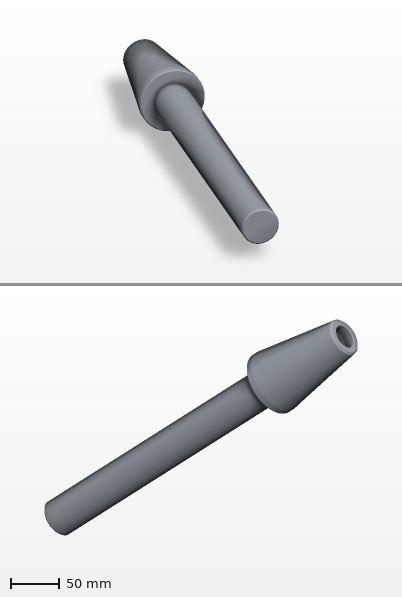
import cadquery as cq
import math

length = 421.8

head_length = 110.0
head_diameter = 70.0
nose_diameter = 41.0
nose_chamfer = 2.0
rim_width = 8.0
rim_chamfer = 1.3

shank_diameter = 40.0
shank_chamfer = 1.5
relief_diameter = 39.2
relief_width = 2.0

mouth_diameter = 26.5
bore_diameter = 25.0
bore_depth = 12.0
drill_diameter = 20.5
drill_depth = 50.5
drill_point_angle = 118.0

nose_x = -length / 2
tail_x = length / 2
head_end_x = nose_x + head_length
relief_end_x = head_end_x + relief_width
relief_step = (shank_diameter - relief_diameter) / 2


def revolve_profile(points):
    """Revolve (x, radius) points about the X axis."""
    profile = cq.Workplane("XY").polyline(points).close()
    return profile.revolve(360, (0, 0, 0), (1, 0, 0))


def make_body():
    return revolve_profile([
        (nose_x, 0),
        (nose_x, nose_diameter / 2 - nose_chamfer),
        (nose_x + nose_chamfer, nose_diameter / 2),
        (head_end_x - rim_width, head_diameter / 2),
        (head_end_x - rim_chamfer, head_diameter / 2),
        (head_end_x, head_diameter / 2 - rim_chamfer),
        (head_end_x, relief_diameter / 2),
        (relief_end_x - relief_step, relief_diameter / 2),
        (relief_end_x, shank_diameter / 2),
        (tail_x - shank_chamfer, shank_diameter / 2),
        (tail_x, shank_diameter / 2 - shank_chamfer),
        (tail_x, 0),
    ])


def make_bore():
    mouth_chamfer = (mouth_diameter - bore_diameter) / 2
    step_x = nose_x + bore_depth
    step_bevel = (bore_diameter - drill_diameter) / 2
    drill_end_x = nose_x + drill_depth
    point_length = drill_diameter / 2 / math.tan(math.radians(drill_point_angle / 2))
    return revolve_profile([
        (nose_x, 0),
        (nose_x, mouth_diameter / 2),
        (nose_x + mouth_chamfer, bore_diameter / 2),
        (step_x, bore_diameter / 2),
        (step_x + step_bevel, drill_diameter / 2),
        (drill_end_x, drill_diameter / 2),
        (drill_end_x + point_length, 0),
    ])


result = make_body().cut(make_bore())